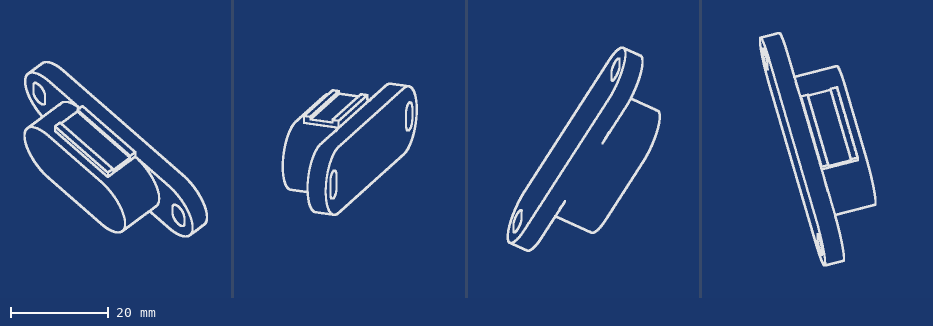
import cadquery as cq

plate_length = 50.7
plate_height = 14.5
plate_thickness = 4.0

total_depth = 13.5
body_straight = 15.95
body_length = body_straight + plate_height

slot_width = 3.5
slot_height = 6.0
slot_spacing = 42.1

total_height = 16.0
pad_depth = 7.65
pad_floor_height = 0.95
lip_width = 1.4
lip_height = total_height - plate_height


def front_plane(back_y):
    """XZ workplane at back_y whose extrusions run forward, toward -Y."""
    return cq.Workplane("XZ", origin=(0, back_y, 0))


def top_block(back_y, depth, height):
    """Block on the flat top of the body, reaching forward from back_y."""
    return (
        cq.Workplane("XY", origin=(0, back_y - depth / 2, plate_height / 2))
        .rect(body_straight, depth)
        .extrude(height)
    )


plate = front_plane(0).slot2D(plate_length, plate_height).extrude(plate_thickness)
body = front_plane(0).slot2D(body_length, plate_height).extrude(total_depth)

slots = (
    front_plane(0)
    .pushPoints([(-slot_spacing / 2, 0), (slot_spacing / 2, 0)])
    .slot2D(slot_height, slot_width, angle=90)
    .extrude(plate_thickness)
)

pad_back = -plate_thickness
front_lip_back = pad_back - pad_depth + lip_width
pad = top_block(pad_back, pad_depth, pad_floor_height)
for lip_back in (pad_back, front_lip_back):
    pad = pad.union(top_block(lip_back, lip_width, lip_height))

result = plate.cut(slots).union(body).union(pad)